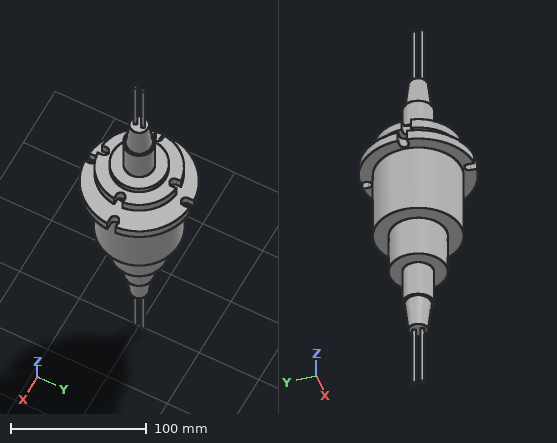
import cadquery as cq

total_height = 332.5
cable_length = 50.0
cable_diameter = 3.0
cable_spacing = 6.3
cable_embed = 3.3

boot_height = 25.0
boot_tip_diameter = 14.5
boot_base_diameter = 20.3
sleeve_height = 30.0
sleeve_diameter = 23.5

neck_diameter = 44.0
lower_neck_height = 34.0
body_diameter = 67.0
body_height = 57.2
wide_flange_diameter = 88.0
narrow_flange_diameter = 66.2
flange_thickness = 8.0
flange_gap = 11.3

notch_width = 7.0
wide_notch_depth = 8.5
narrow_notch_depth = 7.3
notch_count = 4

lower_boot_base = cable_length + boot_height
lower_neck_bottom = lower_boot_base + sleeve_height
body_bottom = lower_neck_bottom + lower_neck_height
wide_flange_bottom = body_bottom + body_height
wide_flange_top = wide_flange_bottom + flange_thickness
narrow_flange_bottom = wide_flange_top + flange_gap
upper_boot_tip = total_height - cable_length
upper_boot_base = upper_boot_tip - boot_height
upper_neck_top = upper_boot_base - sleeve_height


def cylinder(diameter, bottom, top):
    return cq.Workplane("XY").workplane(offset=bottom).circle(diameter / 2).extrude(top - bottom)


def boot(base_level, tip_level):
    """Tapered cable boot, narrowing toward the tip level."""
    return (
        cq.Workplane("XZ")
        .moveTo(0, base_level)
        .lineTo(boot_base_diameter / 2, base_level)
        .lineTo(boot_tip_diameter / 2, tip_level)
        .lineTo(0, tip_level)
        .close()
        .revolve(360, (0, 0, 0), (0, 1, 0))
    )


def notched_flange(diameter, bottom, notch_depth):
    """Disc with evenly spaced, round-ended notches open at the rim."""
    flange = cylinder(diameter, bottom, bottom + flange_thickness)
    notch = (
        cq.Workplane("XY")
        .workplane(offset=bottom)
        .center(diameter / 2 + notch_width / 2, 0)
        .slot2D(2 * notch_depth + notch_width, notch_width)
        .extrude(flange_thickness)
    )
    for index in range(notch_count):
        flange = flange.cut(notch.rotate((0, 0, 0), (0, 0, 1), index * 360 / notch_count))
    return flange


def cable_pair(bottom, top):
    return (
        cq.Workplane("XY")
        .workplane(offset=bottom)
        .pushPoints([(0, -cable_spacing / 2), (0, cable_spacing / 2)])
        .circle(cable_diameter / 2)
        .extrude(top - bottom)
    )


result = cylinder(sleeve_diameter, lower_boot_base, upper_boot_base)
result = result.union(cylinder(neck_diameter, lower_neck_bottom, upper_neck_top))
result = result.union(cylinder(body_diameter, body_bottom, wide_flange_bottom))

result = result.union(notched_flange(wide_flange_diameter, wide_flange_bottom, wide_notch_depth))
result = result.union(notched_flange(narrow_flange_diameter, narrow_flange_bottom, narrow_notch_depth))

result = result.union(boot(lower_boot_base, cable_length))
result = result.union(boot(upper_boot_base, upper_boot_tip))
result = result.union(cable_pair(0, cable_length + cable_embed))
result = result.union(cable_pair(upper_boot_tip - cable_embed, total_height))